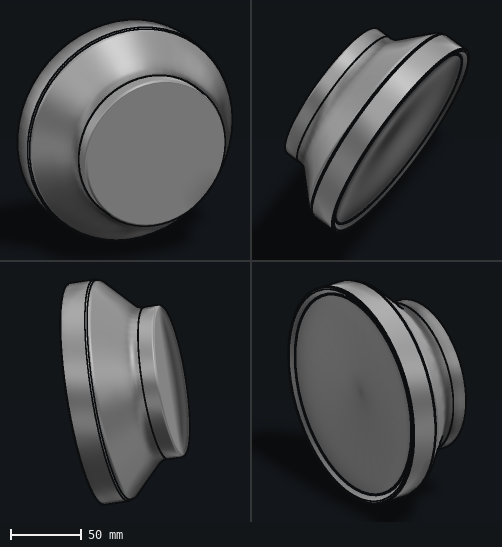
import cadquery as cq
import math

LENGTH = 63.0
RIM_RADIUS = 160 / 2
RIM_WIDTH = 19.8
RIM_FRONT_CHAMFER = 0.6
RIM_BACK_CHAMFER_LENGTH = 1.5

SHOULDER_RADIUS = 158.2 / 2
SHOULDER_END = 20.3
SHOULDER_FILLET = 3.5
NECK_RADIUS = 109.6 / 2
NECK_FILLET = 10.0
FLANGE_RADIUS = 110.0 / 2
FLANGE_START = 51.2
FLANGE_FILLET = 2.0

RECESS_MOUTH_RADIUS = 78.0
LENS_RADIUS = 74.2
RECESS_DEPTH = 2.2

LENS_CHAMFER = 1.0
LENS_EDGE_THICKNESS = 9.6
LENS_DISH_DEPTH = 6.7
SEAT_X = RECESS_DEPTH + LENS_EDGE_THICKNESS

SIN_45 = math.sin(math.radians(45))
SIN_22 = math.sin(math.radians(22.5))
COS_22 = math.cos(math.radians(22.5))


def revolve_about_x(profile):
    """Turn a closed (x, radius) profile once around the X axis."""
    return profile.close().revolve(360, (0, 0, 0), (1, 0, 0))


def make_housing():
    """Rim, tapered barrel and rear flange, with the stepped lens recess in front."""
    shoulder_center_radius = SHOULDER_RADIUS - SHOULDER_FILLET
    shoulder_mid = (
        SHOULDER_END + SHOULDER_FILLET * SIN_22,
        shoulder_center_radius + SHOULDER_FILLET * COS_22,
    )
    cone_start = (
        SHOULDER_END + SHOULDER_FILLET * SIN_45,
        shoulder_center_radius + SHOULDER_FILLET * SIN_45,
    )

    neck_center_radius = NECK_RADIUS + NECK_FILLET
    cone_end_radius = neck_center_radius - NECK_FILLET * SIN_45
    cone_end_x = cone_start[0] + cone_start[1] - cone_end_radius
    neck_fillet_end = cone_end_x + NECK_FILLET * SIN_45
    neck_mid = (
        neck_fillet_end - NECK_FILLET * SIN_22,
        neck_center_radius - NECK_FILLET * COS_22,
    )

    flange_mid = (
        LENGTH - FLANGE_FILLET * (1 - SIN_45),
        FLANGE_RADIUS - FLANGE_FILLET * (1 - SIN_45),
    )

    profile = (
        cq.Workplane("XY")
        .moveTo(SEAT_X, 0)
        .lineTo(SEAT_X, LENS_RADIUS)
        .lineTo(RECESS_DEPTH, LENS_RADIUS)
        .lineTo(0, RECESS_MOUTH_RADIUS)
        .lineTo(0, RIM_RADIUS - RIM_FRONT_CHAMFER)
        .lineTo(RIM_FRONT_CHAMFER, RIM_RADIUS)
        .lineTo(RIM_WIDTH - RIM_BACK_CHAMFER_LENGTH, RIM_RADIUS)
        .lineTo(RIM_WIDTH, SHOULDER_RADIUS)
        .lineTo(SHOULDER_END, SHOULDER_RADIUS)
        .threePointArc(shoulder_mid, cone_start)
        .lineTo(cone_end_x, cone_end_radius)
        .threePointArc(neck_mid, (neck_fillet_end, NECK_RADIUS))
        .lineTo(FLANGE_START, NECK_RADIUS)
        .lineTo(FLANGE_START, FLANGE_RADIUS)
        .lineTo(LENGTH - FLANGE_FILLET, FLANGE_RADIUS)
        .threePointArc(flange_mid, (LENGTH, FLANGE_RADIUS - FLANGE_FILLET))
        .lineTo(LENGTH, 0)
    )
    return revolve_about_x(profile)


def make_lens():
    """Lens disc seated in the recess, its front a shallow conical dish."""
    dish_radius = LENS_RADIUS - LENS_CHAMFER
    profile = (
        cq.Workplane("XY")
        .moveTo(RECESS_DEPTH + LENS_DISH_DEPTH, 0)
        .lineTo(RECESS_DEPTH, dish_radius)
        .lineTo(RECESS_DEPTH + LENS_CHAMFER, LENS_RADIUS)
        .lineTo(SEAT_X, LENS_RADIUS)
        .lineTo(SEAT_X, 0)
    )
    return revolve_about_x(profile)


housing = make_housing()
lens = make_lens()

result = cq.Compound.makeCompound([housing.val(), lens.val()])